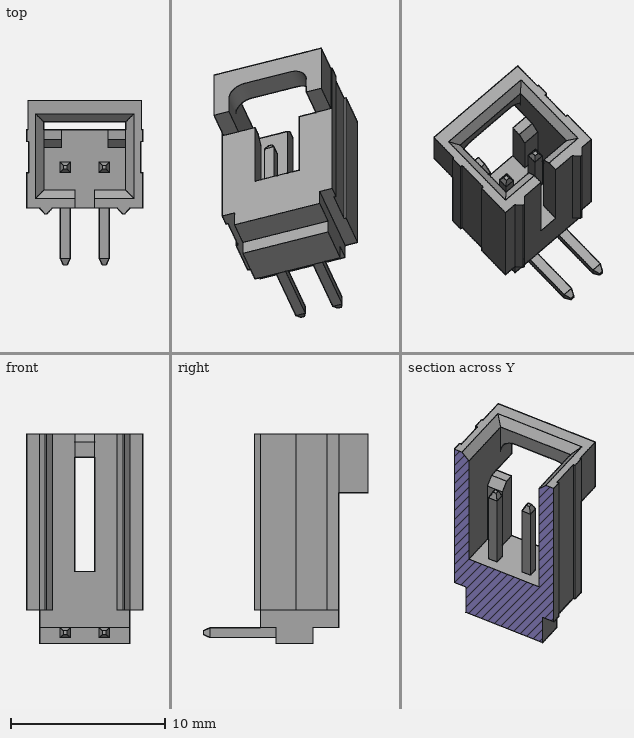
import cadquery as cq


height = 13.59
half_width = 3.771
body_depth = 5.08
shroud_bottom = 2.16

recess_half_width = 3.635
recess_front = 2.3
recess_back = 4.31

collar_half_width = 3.68
collar_back = 6.99
collar_bottom = 9.77

base_half_width = 2.92
foot_height = 1.03
foot_front = 1.0
foot_back = 3.42

cavity_half_width = 2.65
cavity_front = 1.17
cavity_back = 5.59
cavity_floor = 4.69
lead_in = 0.53
lead_in_depth = 0.52

slot_half_width = 0.645
window_top = 12.07
window_radius = 1.09

post_inner_x = 1.51
post_front = 3.93
post_chamfer = 0.53

ridge_x = 2.521
ridge_height = 0.4
ridge_base_half = 0.42
ridge_tip_half = 0.05

pin_x = 1.26
pin_y = 2.65
pin_width = 0.65
pin_tip_width = 0.26
pin_tip_length = 0.43
pin_top = 10.33
pin_reach = 3.7


def box(x0, x1, y0, y1, z0, z1):
    return cq.Workplane("XY").box(x1 - x0, y1 - y0, z1 - z0, centered=False).translate((x0, y0, z0))


def centred_box(half_x, y0, y1, z0, z1):
    return box(-half_x, half_x, y0, y1, z0, z1)


def make_housing():
    shroud = centred_box(half_width, 0, body_depth, shroud_bottom, height)
    for x0, x1 in ((-half_width, -recess_half_width), (recess_half_width, half_width)):
        shroud = shroud.cut(box(x0, x1, recess_front, recess_back, shroud_bottom, height))
    collar = centred_box(collar_half_width, recess_back, collar_back, collar_bottom, height)
    base = centred_box(base_half_width, 0, body_depth, foot_height, shroud_bottom)
    foot = centred_box(base_half_width, foot_front, foot_back, 0, foot_height)
    return shroud.union(collar).union(base).union(foot)


def make_ridge(x):
    return (
        cq.Workplane("XY", origin=(x, 0, shroud_bottom))
        .moveTo(-ridge_base_half, 0)
        .lineTo(-ridge_tip_half, -ridge_height)
        .lineTo(ridge_tip_half, -ridge_height)
        .lineTo(ridge_base_half, 0)
        .close()
        .extrude(height - shroud_bottom)
    )


def make_cavity():
    width = 2 * cavity_half_width
    depth = cavity_back - cavity_front
    well = centred_box(cavity_half_width, cavity_front, cavity_back, cavity_floor, height)
    mouth = (
        cq.Workplane("XY", origin=(0, (cavity_front + cavity_back) / 2, height - lead_in_depth))
        .rect(width, depth)
        .workplane(offset=lead_in_depth)
        .rect(width + 2 * lead_in, depth + 2 * lead_in)
        .loft(ruled=True)
    )
    return well.union(mouth)


def make_rear_window():
    """Opening through the rear wall, rounded at its two upper corners."""
    window = centred_box(cavity_half_width, post_front, collar_back, cavity_floor, window_top)
    return window.edges("|Y and >Z").fillet(window_radius)


def make_post(inner_x, outer_x):
    """Rear post with a sloping front edge at its top."""
    return (
        cq.Workplane("YZ", origin=(inner_x, 0, 0))
        .moveTo(post_front, cavity_floor)
        .lineTo(post_front, collar_bottom - post_chamfer)
        .lineTo(post_front + post_chamfer, collar_bottom)
        .lineTo(body_depth, collar_bottom)
        .lineTo(body_depth, cavity_floor)
        .close()
        .extrude(outer_x - inner_x)
    )


def make_tip(plane):
    """Square pin tip, tapering along the plane's normal."""
    return (
        cq.Workplane(plane)
        .rect(pin_width, pin_width)
        .workplane(offset=pin_tip_length)
        .rect(pin_tip_width, pin_tip_width)
        .loft(ruled=True)
    )


def make_pin(x):
    half = pin_width / 2
    tail_z = foot_height - half
    post_end = pin_top - pin_tip_length
    tail_end = pin_tip_length - pin_reach
    upright = box(x - half, x + half, pin_y - half, pin_y + half, tail_z - half, post_end)
    tail = box(x - half, x + half, tail_end, pin_y, tail_z - half, tail_z + half)
    upper_tip = make_tip(cq.Plane(origin=(x, pin_y, post_end)))
    tail_tip = make_tip(cq.Plane(origin=(x, tail_end, tail_z), xDir=(1, 0, 0), normal=(0, -1, 0)))
    return upright.union(tail).union(upper_tip).union(tail_tip)


result = make_housing().cut(make_cavity()).cut(make_rear_window())
result = result.cut(centred_box(slot_half_width, 0, cavity_front + lead_in, cavity_floor, height))
result = result.union(make_post(-cavity_half_width, -post_inner_x))
result = result.union(make_post(post_inner_x, cavity_half_width))
for side in (-1, 1):
    result = result.union(make_ridge(side * ridge_x))
    result = result.union(make_pin(side * pin_x))